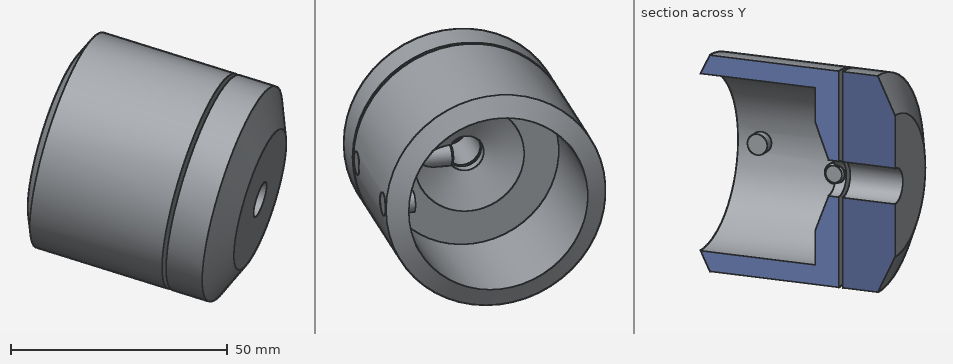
import cadquery as cq
import math

outer_radius = 26.0
shaft_hole_radius = 4.25

sleeve_length = 35.0
sleeve_bore_radius = 21.2
end_bevel_length = 2.4
end_wall_thickness = 6.0
dish_radius = 13.0
dish_depth = 3.4
end_wall_x = sleeve_length - end_wall_thickness

peg_radius = 2.5
rim_peg_x = 6.0
rim_peg_tip_y = 18.75
wall_peg_setback = 3.2
wall_peg_x = end_wall_x + wall_peg_setback
wall_peg_tip_y = 3.45
wall_peg_tip_chamfer = 0.45
spot_flat_radius = 2.75
spot_flat_y = math.sqrt(outer_radius**2 - spot_flat_radius**2)

gap = 1.0
overall_length = 49.28
cap_start_x = sleeve_length + gap
cap_rim_length = 8.9
cap_face_radius = 17.0


def turned(profile):
    """Turn a closed (x, radius) outline about the X axis."""
    return cq.Workplane("XY").polyline(profile).close().revolve(360, (0, 0, 0), (1, 0, 0))


def radial_cylinder(x, radius, inner_y, outer_y):
    """Cylinder lying along Y between two Y positions."""
    return cq.Workplane("XZ", origin=(x, outer_y, 0)).circle(radius).extrude(outer_y - inner_y)


def make_sleeve():
    body = turned([
        (0, sleeve_bore_radius),
        (end_bevel_length, outer_radius),
        (sleeve_length, outer_radius),
        (sleeve_length, shaft_hole_radius),
        (end_wall_x + dish_depth, shaft_hole_radius),
        (end_wall_x, dish_radius),
        (end_wall_x, sleeve_bore_radius),
    ])
    for peg_x in (rim_peg_x, wall_peg_x):
        body = body.cut(radial_cylinder(peg_x, spot_flat_radius, spot_flat_y, outer_radius))
    rim_peg = radial_cylinder(rim_peg_x, peg_radius, rim_peg_tip_y, spot_flat_y)
    wall_peg = radial_cylinder(wall_peg_x, peg_radius, wall_peg_tip_y, spot_flat_y)
    wall_peg = wall_peg.faces("<Y").edges().chamfer(wall_peg_tip_chamfer)
    return body.union(rim_peg).union(wall_peg)


def make_cap():
    return turned([
        (cap_start_x, shaft_hole_radius),
        (cap_start_x, outer_radius),
        (cap_start_x + cap_rim_length, outer_radius),
        (overall_length, cap_face_radius),
        (overall_length, shaft_hole_radius),
    ])


sleeve = make_sleeve()
cap = make_cap()

result = cq.Compound.makeCompound([sleeve.val(), cap.val()])